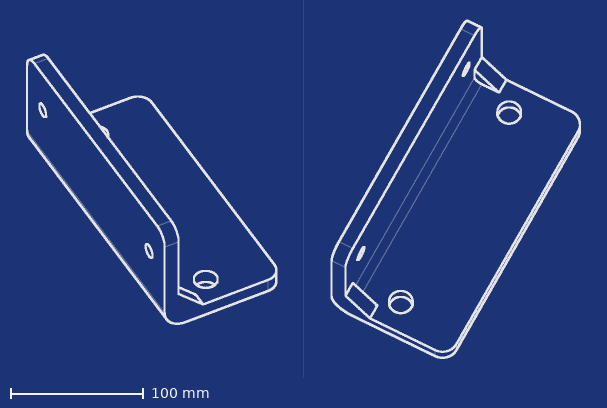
import cadquery as cq

length = 220.0
leg = 100.0
thickness = 11.9
corner_radius = 11.9
bend_radius = 18.0

inner_radius = bend_radius - thickness
gusset_leg = 21.0
gusset_width = thickness

wall_hole_diameter = 11.0
wall_hole_x = 85.0
wall_hole_z = 62.0
base_hole_diameter = 18.0
base_hole_x = 87.3
base_hole_y = 47.0


def gusset(x_start):
    """Triangular filler in the inside corner, reaching equally along both legs."""
    return (
        cq.Workplane("YZ", origin=(x_start, 0, 0))
        .moveTo(thickness, thickness)
        .lineTo(thickness + gusset_leg, thickness)
        .lineTo(thickness, thickness + gusset_leg)
        .close()
        .extrude(gusset_width)
    )


base = cq.Workplane("XY").box(length, leg, thickness, centered=(True, False, False))
base = base.edges("|Z and >Y").fillet(corner_radius)
wall = cq.Workplane("XY").box(length, thickness, leg, centered=(True, False, False))
wall = wall.edges("|Y and >Z").fillet(corner_radius)
body = base.union(wall)

body = body.edges("|X and <Y and <Z").fillet(bend_radius)
inside_corner = cq.selectors.NearestToPointSelector((0, thickness, thickness))
body = body.edges(inside_corner).fillet(inner_radius)

for gusset_start in (-length / 2, length / 2 - gusset_width):
    body = body.union(gusset(gusset_start))

wall_holes = (
    cq.Workplane("XZ")
    .pushPoints([(-wall_hole_x, wall_hole_z), (wall_hole_x, wall_hole_z)])
    .circle(wall_hole_diameter / 2)
    .extrude(-thickness)
)
base_holes = (
    cq.Workplane("XY")
    .pushPoints([(-base_hole_x, base_hole_y), (base_hole_x, base_hole_y)])
    .circle(base_hole_diameter / 2)
    .extrude(thickness)
)

result = body.cut(wall_holes).cut(base_holes)